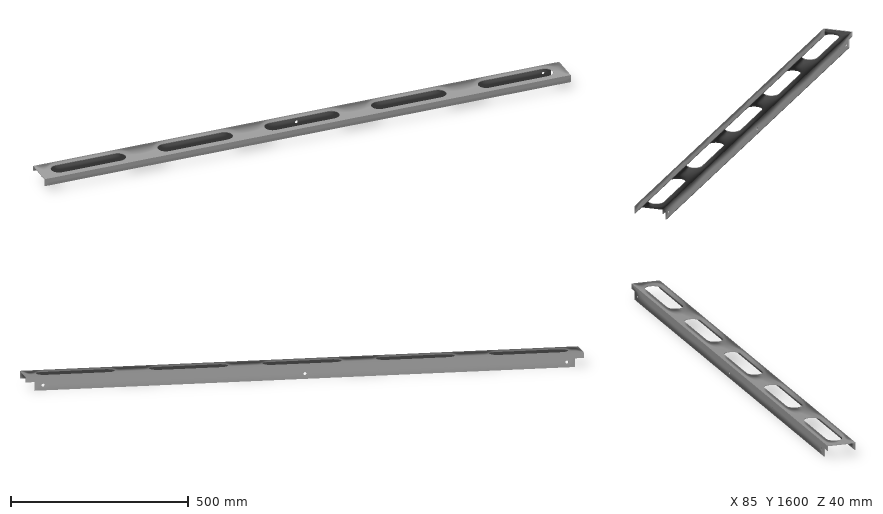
import cadquery as cq

length = 1600.0
width = 85.0
deep_flange = 40.0
short_flange = 22.0
sheet = 2.0

window_count = 5
window_length = 225.0
window_width = 46.0
window_pitch = 325.0

notch_length = 25.0
end_tab_height = 15.0

hole_diameter = 8.5
hole_height = 15.0
hole_count = 3
hole_pitch = 750.0


def channel():
    """Bent sheet section running along Y, with its outer top face at Z = 0."""
    inner_x = width / 2 - sheet
    profile = [
        (-width / 2, 0),
        (width / 2, 0),
        (width / 2, -short_flange),
        (inner_x, -short_flange),
        (inner_x, -sheet),
        (-inner_x, -sheet),
        (-inner_x, -deep_flange),
        (-width / 2, -deep_flange),
    ]
    return cq.Workplane("XZ").polyline(profile).close().extrude(length / 2, both=True)


def web_windows():
    """Evenly spaced windows through the web."""
    return (
        cq.Workplane("XY")
        .rarray(16, window_pitch, 1, window_count)
        .slot2D(window_length, window_width, 90)
        .extrude(-sheet)
    )


def end_notches():
    """Blocks that shorten the deep flange below its end tabs."""
    notch_height = deep_flange - end_tab_height
    return (
        cq.Workplane("XY")
        .workplane(offset=-deep_flange)
        .rarray(16, length - notch_length, 1, 2)
        .rect(2 * sheet, notch_length)
        .extrude(notch_height)
        .translate((-width / 2, 0, 0))
    )


def flange_holes():
    """Round holes at mid-length and near each end of the deep flange."""
    return (
        cq.Workplane("YZ", origin=(-width / 2, 0, hole_height - deep_flange))
        .rarray(hole_pitch, 16, hole_count, 1)
        .circle(hole_diameter / 2)
        .extrude(sheet)
    )


result = channel().cut(web_windows()).cut(end_notches()).cut(flange_holes())